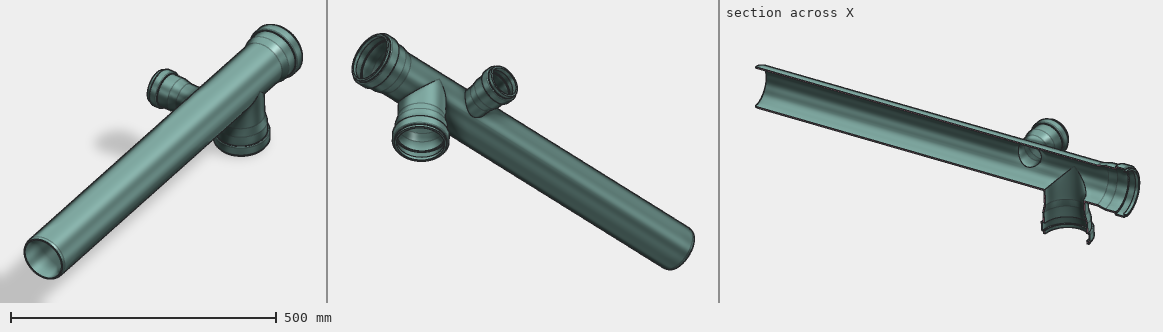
import cadquery as cq
import math


WALL = 4.0
TOTAL_LENGTH = 806.0
BRANCH_LEAN = 2.5
SOCKET_TO_DOWN_BRANCH = 137.6
DOWN_TO_SIDE_BRANCH = 98.0
DOWN_BRANCH_REACH = 136.0
SIDE_BRANCH_REACH = 125.13
BEAD_EDGE_RADIUS = 2.0
GROOVE_INSET = 2.0
SPIGOT_CHAMFER_LENGTH = 6.0
SPIGOT_CHAMFER_DEPTH = 1.5

LARGE = dict(
    pipe=90.0, socket_bore=90.5, groove=99.5, bead=107.1,
    bead_start=5.0, bead_end=25.0, socket_end=46.0, cone_end=63.0,
)
SMALL = dict(
    pipe=58.0, socket_bore=58.1, groove=66.8, bead=74.4,
    bead_start=7.0, bead_end=23.5, socket_end=47.0, cone_end=64.0,
)


def revolve_profile(profile):
    """Revolve a (radius, height) outline about the Z axis."""
    return cq.Workplane("XZ").polyline(profile).close().revolve(360, (0, 0), (0, 1))


def pipe_outside(size, length):
    """Solid outer form, starting at the origin, with its socket face at Z = length."""
    pipe_radius = size["pipe"] / 2
    socket_radius = size["socket_bore"] / 2 + WALL
    bead_radius = size["bead"] / 2
    body = revolve_profile([
        (0, 0),
        (pipe_radius, 0),
        (pipe_radius, length - size["cone_end"]),
        (socket_radius, length - size["socket_end"]),
        (socket_radius, length - size["bead_end"]),
        (bead_radius, length - size["bead_end"]),
        (bead_radius, length - size["bead_start"]),
        (socket_radius, length - size["bead_start"]),
        (socket_radius, length),
        (0, length),
    ])
    return body.edges(cq.selectors.RadiusNthSelector(-1)).fillet(BEAD_EDGE_RADIUS)


def pipe_inside(size, length):
    """Bore of the same pipe, with the seal groove hidden inside the bead."""
    bore_radius = size["pipe"] / 2 - WALL
    socket_radius = size["socket_bore"] / 2
    groove_radius = size["groove"] / 2
    groove_start = size["bead_start"] + GROOVE_INSET
    groove_end = size["bead_end"] - GROOVE_INSET
    return revolve_profile([
        (0, 0),
        (bore_radius, 0),
        (bore_radius, length - size["cone_end"]),
        (socket_radius, length - size["socket_end"]),
        (socket_radius, length - groove_end),
        (groove_radius, length - groove_end),
        (groove_radius, length - groove_start),
        (socket_radius, length - groove_start),
        (socket_radius, length),
        (0, length),
    ])


def spigot_chamfer():
    """Ring removed from the outer edge of the plain pipe end at the origin."""
    pipe_radius = LARGE["pipe"] / 2
    return revolve_profile([
        (pipe_radius - SPIGOT_CHAMFER_DEPTH, 0),
        (pipe_radius, 0),
        (pipe_radius, SPIGOT_CHAMFER_LENGTH),
    ])


def place(body, origin, direction):
    """Move a body built along Z so that it starts at origin and runs along direction."""
    plane = cq.Plane(origin=origin, normal=direction)
    return cq.Workplane(body.val().moved(cq.Location(plane)))


lean = math.radians(BRANCH_LEAN)
spigot_end = (0, SOCKET_TO_DOWN_BRANCH - TOTAL_LENGTH, 0)
along_pipe = (0, 1, 0)

main_pipe = (LARGE, TOTAL_LENGTH, spigot_end, along_pipe)
branches = [
    (LARGE, DOWN_BRANCH_REACH, (0, 0, 0), (0, math.sin(lean), -math.cos(lean))),
    (SMALL, SIDE_BRANCH_REACH, (0, -DOWN_TO_SIDE_BRANCH, 0), (-math.cos(lean), math.sin(lean), 0)),
]

main_body = pipe_outside(LARGE, TOTAL_LENGTH).cut(spigot_chamfer())
result = place(main_body, spigot_end, along_pipe)
for size, length, start, direction in branches:
    result = result.union(place(pipe_outside(size, length), start, direction))
for size, length, start, direction in [main_pipe] + branches:
    result = result.cut(place(pipe_inside(size, length), start, direction))